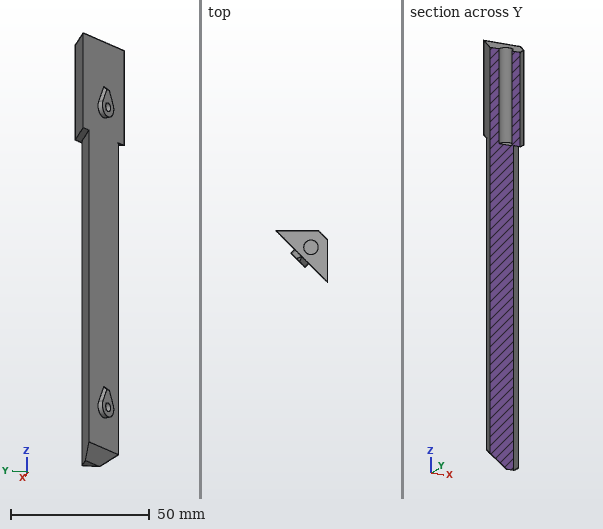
import cadquery as cq
import math

length = 158.0
head_side = 18.6
head_height = 35.7
head_corner_cut = 3.3
stem_face_width = 19.0
tip_height = 4.9

bore_diameter = 5.2
bore_inset = 6.0
bore_depth = head_height

drop_radius = 3.6
drop_point = 8.0
drop_thickness = 1.9
drop_point_setback = 1.6
drop_hole_diameter = 3.2
drop_heights = (20.0, 133.0)

stem_inset = (head_side - stem_face_width / math.sqrt(2)) / 2
stem_corner = head_side - stem_inset
face_middle = head_side / 2


def make_head():
    cut_start = head_side - head_corner_cut
    outline = [(0, head_side), (head_side, 0), (head_side, cut_start), (cut_start, head_side)]
    return (
        cq.Workplane("XY")
        .workplane(offset=length - head_height)
        .polyline(outline)
        .close()
        .extrude(head_height)
    )


def make_stem():
    outline = [(stem_inset, stem_corner), (stem_corner, stem_inset), (stem_corner, stem_corner)]
    return cq.Workplane("XY").polyline(outline).close().extrude(length - head_height)


def face_plane(height):
    """Plane on the sloping face, facing outward, with its local y axis along Z."""
    return cq.Plane(origin=(face_middle, face_middle, height), xDir=(1, -1, 0), normal=(-1, -1, 0))


def make_tip_bevel():
    """Wedge that bevels the lower edge of the sloping face at 45 degrees."""
    side_plane = cq.Plane(origin=(face_middle, face_middle, 0), xDir=(1, 1, 0), normal=(1, -1, 0))
    return (
        cq.Workplane(side_plane)
        .polyline([(0, 0), (tip_height, 0), (0, tip_height)])
        .close()
        .extrude(head_side, both=True)
    )


def make_point_slope(height):
    """Wedge that slopes the point of a teardrop back from its base to its outer face."""
    side_plane = cq.Plane(origin=(face_middle, face_middle, height), xDir=(-1, -1, 0), normal=(-1, 1, 0))
    return (
        cq.Workplane(side_plane)
        .polyline([
            (0, drop_point),
            (drop_thickness, drop_point),
            (drop_thickness, drop_point - drop_point_setback),
        ])
        .close()
        .extrude(drop_radius, both=True)
    )


def make_drop(height):
    """Raised teardrop whose straight flanks are tangent to its round end."""
    tangent_angle = math.asin(drop_radius / drop_point)
    tangent_x = drop_radius * math.cos(tangent_angle)
    tangent_y = drop_radius * math.sin(tangent_angle)
    drop = (
        cq.Workplane(face_plane(height))
        .moveTo(0, drop_point)
        .lineTo(tangent_x, tangent_y)
        .threePointArc((0, -drop_radius), (-tangent_x, tangent_y))
        .close()
        .extrude(drop_thickness)
    )
    return drop.cut(make_point_slope(height))


def make_drop_hole(height):
    """Blind hole through the thickness of a teardrop, down to the sloping face."""
    return cq.Workplane(face_plane(height)).circle(drop_hole_diameter / 2).extrude(drop_thickness)


def make_bore():
    bore_place = head_side - bore_inset
    return (
        cq.Workplane("XY")
        .workplane(offset=length - bore_depth)
        .center(bore_place, bore_place)
        .circle(bore_diameter / 2)
        .extrude(bore_depth)
    )


result = make_head().union(make_stem()).cut(make_tip_bevel()).cut(make_bore())
for drop_height in drop_heights:
    result = result.union(make_drop(drop_height)).cut(make_drop_hole(drop_height))